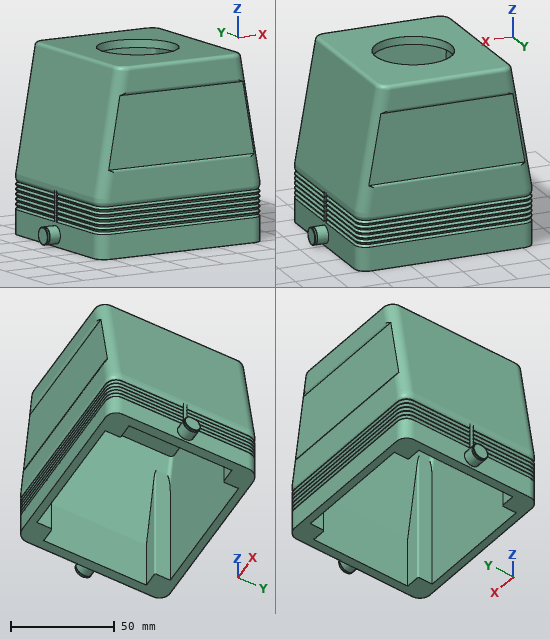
import cadquery as cq
import math

length = 93.5
width = 82.5
height = 94.0
taper_start = 30.0
taper_angle = 10.0
corner_radius = 6.0
top_edge_radius = 2.0

side_wall = 4.1
end_wall = 4.9
cavity_corner_radius = corner_radius - side_wall

pillar_inner_x = 33.5
pillar_inner_y = 28.6
pillar_edge_radius = 0.9

entry_diameter = 40.0

recess_bottom = 43.1
recess_top = 81.0
recess_depth = 0.9
recess_lip_radius = 1.3

groove_count = 6
groove_bottom = 12.4
groove_pitch = 2.5
groove_land = 0.3
groove_height = groove_pitch - groove_land
groove_depth = 1.0
groove_top = groove_bottom + groove_count * groove_pitch - groove_land
groove_lip_radius = 2.2
bridge_width = 1.9

pin_span = 108.0
pin_diameter = 9.0
pin_height = 6.0
pin_chamfer = 0.3
pin_neck_diameter = 5.4
pin_neck_width = 0.2
pin_head_length = 1.2

tolerance = 0.01
cutter_margin = 2.2


def tapered_block(block_length, block_width, block_height, radius):
    """Block whose end walls lean inward above taper_start, with rounded upright corners."""
    half = block_length / 2
    half_top = half - (block_height - taper_start) * math.tan(math.radians(taper_angle))
    outline = [
        (-half, 0),
        (half, 0),
        (half, taper_start),
        (half_top, block_height),
        (-half_top, block_height),
        (-half, taper_start),
    ]
    block = cq.Workplane("XZ").polyline(outline).close().extrude(block_width / 2, both=True)
    return block.faces("<Y or >Y").edges("not |X").fillet(radius)


def recessed_slab():
    """Slab along X whose YZ section has the grip recess on both sides."""
    face = width / 2
    floor = face - recess_depth
    right_side = [
        (face, 0),
        (face, recess_bottom),
        (floor, recess_bottom + recess_depth),
        (floor, recess_top - recess_depth),
        (face, recess_top),
        (face, height),
    ]
    left_side = [(-y, z) for y, z in reversed(right_side)]
    slab = cq.Workplane("YZ").polyline(right_side + left_side).close().extrude(length / 2, both=True)

    def is_recess_lip(edge):
        center = edge.Center()
        on_face = abs(abs(center.y) - face) < tolerance
        return on_face and tolerance < center.z < height - tolerance

    return slab.edges("|X").filter(is_recess_lip).fillet(recess_lip_radius)


def v_groove(bottom):
    """Ring-shaped cutter for one V-groove around the base."""
    half_height = groove_height / 2
    flank_angle = math.degrees(math.atan2(groove_depth, half_height))
    section = cq.Sketch().rect(length, width).vertices().fillet(corner_radius)
    ring = (
        cq.Workplane("XY", origin=(0, 0, bottom))
        .rect(length + cutter_margin, width + cutter_margin)
        .extrude(groove_height)
    )
    for start, direction in ((bottom, 1), (bottom + groove_height, -1)):
        core = (
            cq.Workplane("XY", origin=(0, 0, start))
            .placeSketch(section)
            .extrude(direction * half_height, taper=flank_angle)
        )
        ring = ring.cut(core)
    return ring


def groove_bridges():
    """Bar whose ends fill the grooves in the middle of both end faces."""
    return (
        cq.Workplane("XY", origin=(0, 0, groove_bottom))
        .rect(length, bridge_width)
        .extrude(groove_top + groove_lip_radius - groove_bottom)
    )


def locking_pins():
    """Pin running through the base, with a necked head at each tip."""
    radius = pin_diameter / 2
    pins = (
        cq.Workplane("YZ", origin=(-pin_span / 2, 0, pin_height))
        .circle(radius)
        .extrude(pin_span)
        .faces("<X or >X")
        .chamfer(pin_chamfer)
    )
    for neck_start in (pin_head_length - pin_span / 2, pin_span / 2 - pin_head_length - pin_neck_width):
        neck = (
            cq.Workplane("YZ", origin=(neck_start, 0, pin_height))
            .circle(radius + cutter_margin)
            .circle(pin_neck_diameter / 2)
            .extrude(pin_neck_width)
        )
        pins = pins.cut(neck)
    return pins


def cavity():
    """Inner volume, with the four corner pillars left standing."""
    inner = tapered_block(
        length - 2 * end_wall, width - 2 * side_wall, height - side_wall, cavity_corner_radius
    )
    pillars = (
        cq.Workplane("XY")
        .rect(pillar_inner_x + length / 2, pillar_inner_y + width / 2, forConstruction=True)
        .vertices()
        .rect(length / 2 - pillar_inner_x, width / 2 - pillar_inner_y)
        .extrude(height)
        .edges("|Z")
        .fillet(pillar_edge_radius)
    )
    return inner.cut(pillars)


body = tapered_block(length, width, height, corner_radius)
body = body.faces(">Z").edges().fillet(top_edge_radius)
body = body.intersect(recessed_slab())

for index in range(groove_count):
    body = body.cut(v_groove(groove_bottom + index * groove_pitch))
upper_lip = cq.selectors.BoxSelector(
    (-length, -width, groove_top - tolerance), (length, width, groove_top + tolerance)
)
body = body.edges(upper_lip).fillet(groove_lip_radius)
body = body.union(groove_bridges()).union(locking_pins())

entry = (
    cq.Workplane("XY", origin=(0, 0, height / 2))
    .circle(entry_diameter / 2)
    .extrude(height / 2)
)
result = body.cut(cavity()).cut(entry)